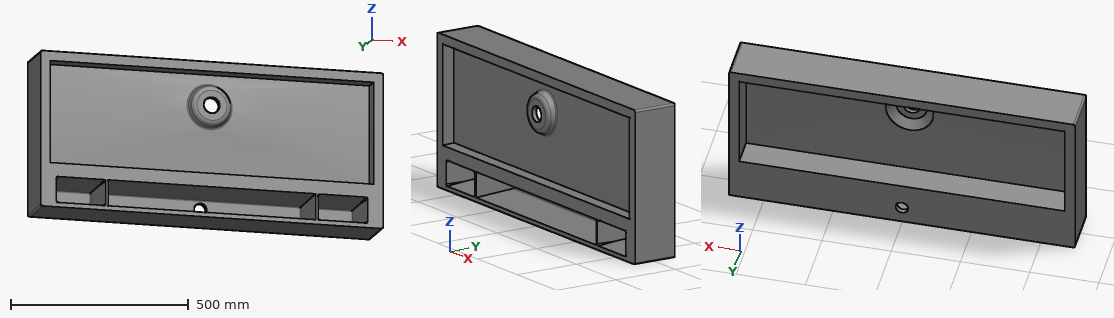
import cadquery as cq
import math


LENGTH = 1000.0
HEIGHT = 135.0
WIDTH = 450.0
CORNER_RADIUS = 6.0

SKIN = 15.0
RIM = 28.0

RECESS_DEPTH = 37.0
RECESS_LENGTH = LENGTH - 2 * RIM
RECESS_BOTTOM = 127.0
RECESS_TOP = WIDTH - RIM
RECESS_WIDTH = RECESS_TOP - RECESS_BOTTOM
RECESS_MID = (RECESS_TOP + RECESS_BOTTOM) / 2
RECESS_WALL_INSET = 2.0

FLOOR_LENGTH = RECESS_LENGTH - 2 * RECESS_WALL_INSET
FLOOR_WIDTH = RECESS_WIDTH - 2 * RECESS_WALL_INSET
FLOOR_BULGE = 12.0
FLOOR_GRID_STEPS = 8
FLOOR_FIT_TOLERANCE = 0.001

DRAIN_Z = 325.0
DRAIN_HOLE_RADIUS = 23.0
BOSS_FACE_RADIUS = 54.0
BOSS_FACE_Y = 2.0
BOSS_DRAFT = 20.0
BOSS_EDGE_RADIUS = 15.0
BOSS_FOOT_RADIUS = 4.0
WELL_RADIUS = 44.0
WELL_FLARE = 45.0

POCKET_BOTTOM = 13.0
POCKET_WIDTH = 75.0
POCKET_MID = POCKET_BOTTOM + POCKET_WIDTH / 2
POCKET_DEPTH = HEIGHT - SKIN
POCKET_WALL_INSET = 11.0
POCKET_RIB = 7.0
MIDDLE_POCKET_LENGTH = 606.0
SIDE_POCKET_LENGTH = 144.0
SIDE_POCKET_CORNER = 5.0
POCKET_FLOOR_RADIUS = 2.0
SIDE_POCKET_X = (MIDDLE_POCKET_LENGTH + SIDE_POCKET_LENGTH) / 2 + POCKET_RIB
TAP_HOLE_RADIUS = 18.0


def section(y, x=0.0, z=0.0):
    """Workplane at depth y, facing -Y, with local x along X and local y along Z."""
    return cq.Workplane(cq.Plane(origin=(x, y, z), xDir=(1, 0, 0), normal=(0, -1, 0)))


def draft_angle(inset, depth):
    """Wall tilt, in degrees, that moves a wall inward by inset over depth."""
    return math.degrees(math.atan2(inset, depth))


def pocket(length, x, corner_radius=0.0):
    """Tapered pocket that narrows from the underside to a floor with rounded edges."""
    outline = cq.Sketch().rect(length, POCKET_WIDTH)
    if corner_radius:
        outline = outline.vertices().fillet(corner_radius)
    draft = draft_angle(POCKET_WALL_INSET, POCKET_DEPTH)
    solid = section(0, x, POCKET_MID).placeSketch(outline).extrude(-POCKET_DEPTH, taper=draft)
    return solid.faces(">Y").edges().fillet(POCKET_FLOOR_RADIUS)


def drain_disc(radius, y_start, y_end, flare=0.0):
    """Disc on the drain axis whose radius at y_start widens by the flare angle toward y_end."""
    return section(y_start, 0, DRAIN_Z).circle(radius).extrude(y_start - y_end, taper=-flare)


def floor_point(u, v, edge_y):
    """Point on the floor; u and v run from 0 to 1 between opposite walls."""
    along_x = 4 * u * (1 - u)
    along_z = 4 * v * (1 - v)
    bulge = FLOOR_BULGE * along_x * along_z
    return cq.Vector((u - 0.5) * FLOOR_LENGTH, edge_y - bulge, RECESS_MID + (v - 0.5) * FLOOR_WIDTH)


def bulged_block(edge_y, thickness):
    """Block swept toward +Y from the bulged floor surface whose edges lie at edge_y."""
    steps = [i / FLOOR_GRID_STEPS for i in range(FLOOR_GRID_STEPS + 1)]
    grid = [[floor_point(u, v, edge_y) for v in steps] for u in steps]
    surface = cq.Face.makeSplineApprox(grid, tol=FLOOR_FIT_TOLERANCE, minDeg=2, maxDeg=3)
    return cq.Workplane(cq.Solid.extrudeLinear(surface, cq.Vector(0, thickness, 0)))


block = section(HEIGHT, 0, WIDTH / 2).rect(LENGTH, WIDTH).extrude(HEIGHT)
body = block.edges("|Y").fillet(CORNER_RADIUS)

recess_draft = draft_angle(RECESS_WALL_INSET, RECESS_DEPTH)
recess_mouth = section(0, 0, RECESS_MID).rect(RECESS_LENGTH, RECESS_WIDTH)
body = body.cut(recess_mouth.extrude(-RECESS_DEPTH, taper=recess_draft))
body = body.union(bulged_block(RECESS_DEPTH, SKIN))

boss = drain_disc(BOSS_FACE_RADIUS, BOSS_FACE_Y, RECESS_DEPTH, BOSS_DRAFT)
boss = boss.faces("<Y").edges().fillet(BOSS_EDGE_RADIUS)
body = body.union(boss)

foot_zone = cq.selectors.BoxSelector(
    (-FLOOR_LENGTH / 4, RECESS_DEPTH - FLOOR_BULGE, RECESS_BOTTOM + RECESS_WALL_INSET),
    (FLOOR_LENGTH / 4, RECESS_DEPTH, RECESS_TOP - RECESS_WALL_INSET),
    boundingbox=True,
)
body = body.edges(foot_zone).fillet(BOSS_FOOT_RADIUS)

bowl_floor_y = RECESS_DEPTH + SKIN
bowl = bulged_block(bowl_floor_y, HEIGHT)
drain_well = drain_disc(WELL_RADIUS, BOSS_FACE_Y + SKIN, bowl_floor_y, WELL_FLARE)
body = body.cut(bowl).cut(drain_well).cut(drain_disc(DRAIN_HOLE_RADIUS, 0, HEIGHT))

body = body.cut(pocket(MIDDLE_POCKET_LENGTH, 0))
for side in (-1, 1):
    body = body.cut(pocket(SIDE_POCKET_LENGTH, side * SIDE_POCKET_X, SIDE_POCKET_CORNER))
body = body.cut(section(HEIGHT, 0, POCKET_MID).circle(TAP_HOLE_RADIUS).extrude(HEIGHT))

result = body